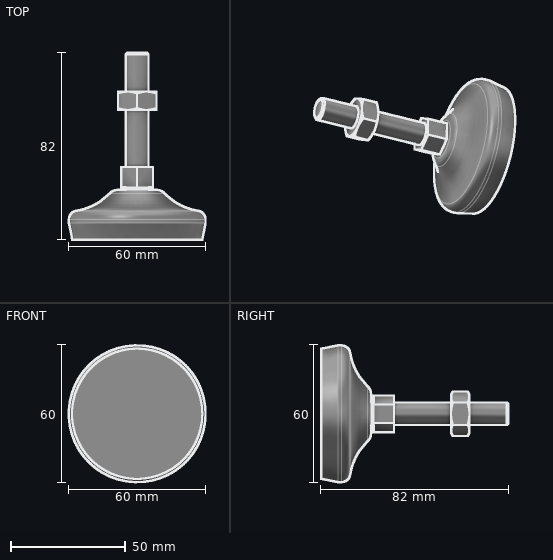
import cadquery as cq
import math

total_length = 82.0

foot_radius = 30.0
sole_radius = 28.5
taper_height = 7.4
band_top = 8.85
shoulder_rounding = 4.0
shoulder_lean = math.radians(15)
waist_radius = 18.4
waist_height = 15.6
crown_radius = 12.0
crown_height = 20.4
foot_top_radius = 8.5
foot_height = 22.0

stud_diameter = 10.0
stud_chamfer = 0.7

drive_flats = 14.0
drive_start = 23.0
drive_length = 9.0

nut_flats = 17.0
nut_start = 56.9
nut_length = 8.0
nut_chamfer_angle = math.radians(30)
nut_envelope_ratio = 1.3


def plane_at(y):
    """Plane facing +Y at the given distance from the sole."""
    return cq.Plane(origin=(0, y, 0), xDir=(0, 0, 1), normal=(0, 1, 0))


def revolve_about_y(profile):
    return profile.close().revolve(360, (0, 0, 0), (0, 1, 0))


def shoulder_point(lean):
    """Point on the shoulder rounding, at an angle measured from +Y."""
    center_radius = foot_radius - shoulder_rounding
    return (
        center_radius + shoulder_rounding * math.sin(lean),
        band_top + shoulder_rounding * math.cos(lean),
    )


def make_foot():
    shoulder_mid_lean = (shoulder_lean + math.pi / 2) / 2
    profile = (
        cq.Workplane("XY")
        .moveTo(0, foot_height)
        .lineTo(foot_top_radius, foot_height)
        .tangentArcPoint((crown_radius, crown_height), relative=False)
        .threePointArc((waist_radius, waist_height), shoulder_point(shoulder_lean))
        .threePointArc(shoulder_point(shoulder_mid_lean), (foot_radius, band_top))
        .lineTo(foot_radius, taper_height)
        .lineTo(sole_radius, 0)
        .lineTo(0, 0)
    )
    return revolve_about_y(profile)


def make_stud():
    stud = cq.Workplane(plane_at(taper_height)).circle(stud_diameter / 2)
    return stud.extrude(total_length - taper_height).faces(">Y").chamfer(stud_chamfer)


def make_hexagon(flats, start, length):
    """Hexagonal prism with corners on Z and two flats facing X."""
    across_corners = flats / math.cos(math.pi / 6)
    return cq.Workplane(plane_at(start)).polygon(6, across_corners).extrude(length)


def make_lock_nut():
    face_radius = nut_flats / 2
    outer_radius = nut_envelope_ratio * face_radius
    cone_drop = (outer_radius - face_radius) * math.tan(nut_chamfer_angle)
    nut_end = nut_start + nut_length
    envelope = revolve_about_y(
        cq.Workplane("XY")
        .moveTo(0, nut_start)
        .lineTo(face_radius, nut_start)
        .lineTo(outer_radius, nut_start + cone_drop)
        .lineTo(outer_radius, nut_end - cone_drop)
        .lineTo(face_radius, nut_end)
        .lineTo(0, nut_end)
    )
    return make_hexagon(nut_flats, nut_start, nut_length).intersect(envelope)


drive_hexagon = make_hexagon(drive_flats, drive_start, drive_length)
result = make_foot().union(make_stud()).union(drive_hexagon).union(make_lock_nut())